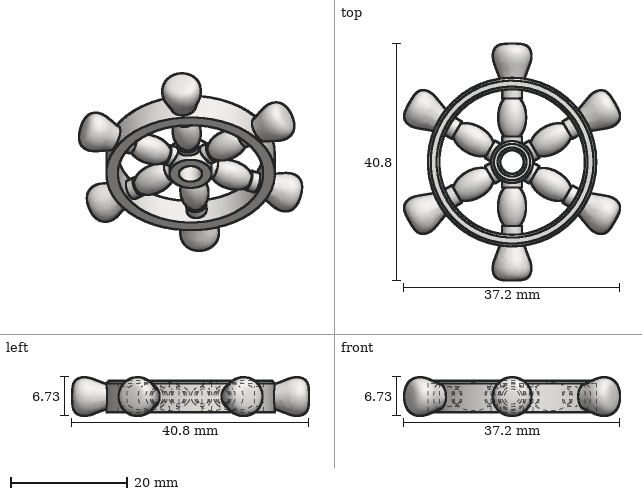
import cadquery as cq
import math

spoke_count = 6
overall_radius = 20.4
ring_height = 5.45
ring_bottom = -ring_height / 2
edge_chamfer = 0.5

rim_diameter = 29.0
rim_inner_diameter = 25.0
hub_diameter = 7.2
bore_diameter = 4.0

collar_radius = 3.45 / 2
inner_collar_end = 4.4
outer_collar_start = 10.95
bead_radius = 2.45
bead_half_length = 3.87

handle_taper_radius = 2.77
handle_taper_distance = 16.05
handle_swell_radius = 3.35
handle_swell_distance = 18.55
handle_shoulder_radius = 2.85
handle_shoulder_distance = 19.75
handle_root_radius = 1.85

hub_wall_middle = (hub_diameter + bore_diameter) / 4
rim_wall_middle = (rim_diameter + rim_inner_diameter) / 4


def make_ring(outer_diameter, inner_diameter):
    """Flat-bottomed ring with both top edges chamfered."""
    ring = cq.Workplane("XY").workplane(offset=ring_bottom)
    ring = ring.circle(outer_diameter / 2).circle(inner_diameter / 2).extrude(ring_height)
    return ring.faces(">Z").edges().chamfer(edge_chamfer)


def revolve_about_y(profile):
    return profile.close().revolve(360, (0, 0, 0), (0, 1, 0))


def make_spoke():
    """Collars and bead along +Y, from the hub wall to the rim wall."""
    bead_centre = (inner_collar_end + outer_collar_start) / 2
    bead_end_offset = (outer_collar_start - inner_collar_end) / 2
    bead_end_radius = bead_radius * math.sqrt(1 - (bead_end_offset / bead_half_length) ** 2)
    bead_end_angle = math.asin(bead_end_offset / bead_half_length)

    def bead_point(t):
        angle = bead_end_angle * t
        return (bead_radius * math.cos(angle), bead_centre + bead_half_length * math.sin(angle))

    profile = (
        cq.Workplane("XY")
        .moveTo(0, hub_wall_middle)
        .lineTo(collar_radius, hub_wall_middle)
        .lineTo(collar_radius, inner_collar_end)
        .lineTo(bead_end_radius, inner_collar_end)
        .parametricCurve(bead_point, start=-1, stop=1, makeWire=False)
        .lineTo(collar_radius, outer_collar_start)
        .lineTo(collar_radius, rim_wall_middle)
        .lineTo(0, rim_wall_middle)
    )
    return revolve_about_y(profile)


def make_handle():
    """Handle along +Y, rooted in the rim wall."""
    root_to_tip = [
        (handle_taper_radius, handle_taper_distance),
        (handle_swell_radius, handle_swell_distance),
        (handle_shoulder_radius, handle_shoulder_distance),
        (0, overall_radius),
    ]
    root_direction = (
        handle_taper_radius - handle_root_radius,
        handle_taper_distance - rim_wall_middle,
    )
    tip_direction = (-1, 0)
    profile = (
        cq.Workplane("XY")
        .moveTo(0, rim_wall_middle)
        .lineTo(handle_root_radius, rim_wall_middle)
        .spline(root_to_tip, tangents=[root_direction, tip_direction], includeCurrent=True)
    )
    return revolve_about_y(profile)


rim = make_ring(rim_diameter, rim_inner_diameter)
hub = make_ring(hub_diameter, bore_diameter)
spoke = make_spoke()
handle = make_handle()

result = rim.union(hub)
for index in range(spoke_count):
    angle = index * 360 / spoke_count
    for turned_part in (spoke, handle):
        result = result.union(turned_part.rotate((0, 0, 0), (0, 0, 1), angle))